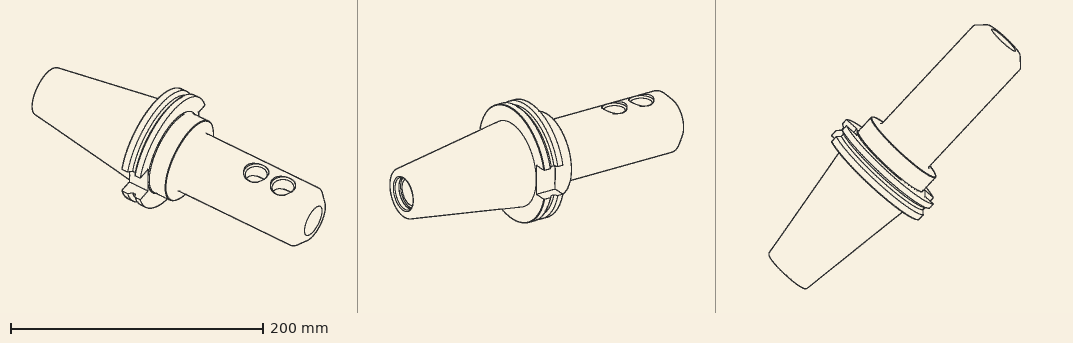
import cadquery as cq
import math

total_length = 254.0
nose_radius = 20.5
nose_fillet = 2.0
taper_radius = 35.3
flange_start = 103.0
flange_end = 120.7
flange_radius = 48.5
boss_diameter = 69.9
flange_chamfer = 0.5
boss_end = 137.0
boss_edge_chamfer = 0.5
boss_root_fillet = 0.8
shank_radius = 25.5
shank_fillet = 2.5
tip_chamfer = 7.5
tip_edge_fillet = 1.0
tip_shoulder_fillet = 1.8

groove_start = 108.7
groove_end = 115.8
groove_floor_start = 111.5
groove_floor_end = 114.0
groove_floor_radius = 45.7

notch_width = 25.5
front_notch_floor = 35.5
rear_notch_floor = 37.8

through_diameter = 21.8
nose_bore_diameter = 26.7
nose_bore_depth = 4.5
nose_step_diameter = 26.2
nose_step_depth = 6.0
nose_bore_chamfer = 1.0
tool_bore_diameter = 25.5
tool_bore_depth = 76.2

screw_diameter = 17.3
screw_mouth_diameter = 20.0
screw_mouth_depth = 1.5
screw_spacing = 25.5
first_screw_x = 200.0
screw_count = 2


def make_body():
    """Taper, grooved flange, boss and shank as one revolved outline."""
    boss_radius = boss_diameter / 2
    outline = [
        (0, 0),
        (0, nose_radius),
        (flange_start, taper_radius),
        (flange_start, flange_radius - flange_chamfer),
        (flange_start + flange_chamfer, flange_radius),
        (groove_start, flange_radius),
        (groove_floor_start, groove_floor_radius),
        (groove_floor_end, groove_floor_radius),
        (groove_end, flange_radius),
        (flange_end, flange_radius),
        (flange_end, boss_radius),
        (boss_end - boss_edge_chamfer, boss_radius),
        (boss_end, boss_radius - boss_edge_chamfer),
        (boss_end, shank_radius),
        (total_length - tip_chamfer, shank_radius),
        (total_length, shank_radius - tip_chamfer),
        (total_length, 0),
    ]
    body = cq.Workplane("XY").polyline(outline).close().revolve(360, (0, 0, 0), (1, 0, 0))

    body = round_ring(body, 0, nose_radius, nose_fillet)
    body = round_ring(body, flange_end, boss_radius, boss_root_fillet)
    body = round_ring(body, boss_end, shank_radius, shank_fillet)
    body = round_ring(body, total_length - tip_chamfer, shank_radius, tip_shoulder_fillet)
    return round_ring(body, total_length, shank_radius - tip_chamfer, tip_edge_fillet)


def round_ring(body, x, radius, fillet):
    """Fillet the circular edge of the given radius at position x."""
    margin = 0.13
    reach = radius + margin
    ring_box = cq.selectors.BoxSelector(
        (x - margin, -reach, -reach), (x + margin, reach, reach), boundingbox=True
    )
    return body.edges(ring_box).fillet(fillet)


def make_notch(side, floor):
    """Block that cuts the flange outward from floor, toward +Y or -Y."""
    depth = flange_radius - floor
    middle = side * (floor + depth / 2)
    block = cq.Workplane("XY").box(flange_end - flange_start, depth, notch_width)
    return block.translate(((flange_start + flange_end) / 2, middle, 0))


def make_axial_bores():
    """Through bore, stepped nose counterbore with a chamfered mouth, and tool bore."""
    nose_bore_radius = nose_bore_diameter / 2
    tool_bore_start = total_length - tool_bore_depth
    outline = [
        (0, 0),
        (0, nose_bore_radius + nose_bore_chamfer),
        (nose_bore_chamfer, nose_bore_radius),
        (nose_bore_depth, nose_bore_radius),
        (nose_bore_depth, nose_step_diameter / 2),
        (nose_step_depth, nose_step_diameter / 2),
        (nose_step_depth, through_diameter / 2),
        (tool_bore_start, through_diameter / 2),
        (tool_bore_start, tool_bore_diameter / 2),
        (total_length, tool_bore_diameter / 2),
        (total_length, 0),
    ]
    return cq.Workplane("XY").polyline(outline).close().revolve(360, (0, 0, 0), (1, 0, 0))


def make_screw_hole(x):
    """Hole from the top of the shank to the axis, with a conical mouth."""
    screw_radius = screw_diameter / 2
    mouth_radius = screw_mouth_diameter / 2
    mouth_top = math.sqrt(shank_radius**2 - mouth_radius**2)
    mouth_bottom = mouth_top - screw_mouth_depth
    outline = [
        (0, 0),
        (screw_radius, 0),
        (screw_radius, mouth_bottom),
        (mouth_radius, mouth_top),
        (mouth_radius, shank_radius),
        (0, shank_radius),
    ]
    hole = cq.Workplane("XZ").polyline(outline).close().revolve(360, (0, 0, 0), (0, 1, 0))
    return hole.translate((x, 0, 0))


result = make_body()
result = result.cut(make_notch(-1, front_notch_floor))
result = result.cut(make_notch(1, rear_notch_floor))
result = result.cut(make_axial_bores())
for index in range(screw_count):
    result = result.cut(make_screw_hole(first_screw_x + index * screw_spacing))